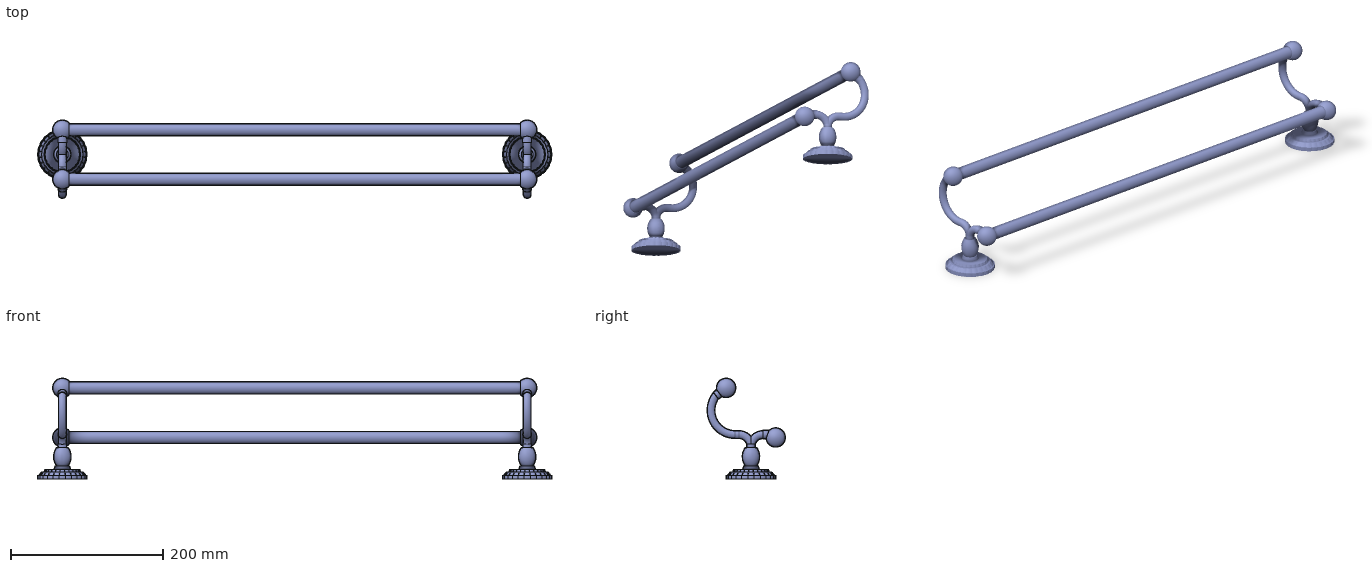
import cadquery as cq
import math


post_spacing = 609.6
overall_height = 132.52
overall_depth = 102.86

ball_radius = 12.8
bar_radius = 8.1
ball_face_offset = 9.0
bar_offset = 65.0
rear_ball_y = 32.4
front_ball_y = rear_ball_y - bar_offset
front_ball_z = overall_height - ball_radius
rear_ball_z = front_ball_z - bar_offset

lobe_count = 24
lobe_depth = 0.6
rosette_radius = 32.51
rosette_tiers = [
    (rosette_radius, 5.0, 0.0),
    (31.0, 4.5, 40.0),
    (24.0, 3.5, 20.0),
]
rosette_height = sum(thickness for _, thickness, _ in rosette_tiers)

collar_base_radius = 11.0
collar_top_radius = 9.5
collar_top = 17.5
bulb_end_radius = 7.7
bulb_radius = 11.6
bulb_top = 41.5
neck_radius = 5.7
neck_top = 46.0

arm_radius = 5.2
fork_radius = 16.0
arm_z = 58.5
ferrule_radius = 5.8
ferrule_reach = 4.0

hook_extreme_y = rear_ball_y + ball_radius - overall_depth + arm_radius
hook_run = front_ball_y - hook_extreme_y
hook_rise = front_ball_z - arm_z
hook_radius = hook_run + hook_rise - math.sqrt(2 * hook_run * hook_rise)
hook_center_y = hook_extreme_y + hook_radius
hook_center_z = arm_z + hook_radius
hook_end_angle = math.atan2(front_ball_z - hook_center_z, front_ball_y - hook_center_y)


def scalloped_tier(radius, thickness, taper, bottom_z):
    """Tapered disc whose rim is a ring of shallow rounded lobes, with crests on the X and Y axes."""
    notch_radius = radius - lobe_depth
    pitch = 2 * math.pi / lobe_count

    def rim_point(distance, angle):
        return (distance * math.cos(angle), distance * math.sin(angle))

    outline = cq.Workplane("XY", origin=(0, 0, bottom_z)).moveTo(*rim_point(notch_radius, -pitch / 2))
    for lobe in range(lobe_count):
        crest = rim_point(radius, lobe * pitch)
        notch = rim_point(notch_radius, (lobe + 0.5) * pitch)
        outline = outline.threePointArc(crest, notch)
    return outline.close().extrude(thickness, taper=taper)


def rosette():
    body = None
    bottom_z = 0.0
    for radius, thickness, taper in rosette_tiers:
        tier = scalloped_tier(radius, thickness, taper, bottom_z)
        body = tier if body is None else body.union(tier)
        bottom_z += thickness
    return body


def turned_post():
    """Collar, bulb and neck as one revolved profile about the post axis."""
    bulb_middle = (collar_top + bulb_top) / 2
    return (
        cq.Workplane("XZ")
        .moveTo(0, 0)
        .lineTo(collar_base_radius, 0)
        .lineTo(collar_base_radius, rosette_height)
        .lineTo(collar_top_radius, collar_top)
        .lineTo(bulb_end_radius, collar_top)
        .threePointArc((bulb_radius, bulb_middle), (bulb_end_radius, bulb_top))
        .lineTo(neck_radius, bulb_top)
        .lineTo(neck_radius, neck_top)
        .lineTo(0, neck_top)
        .close()
        .revolve(360, (0, 0, 0), (0, 1, 0))
    )


def fork_start(side):
    """Centreline of one fork branch: up the post, then a quarter turn to +Y or -Y."""
    turn = fork_radius * math.sqrt(0.5)
    bend_z = arm_z - fork_radius
    return (
        cq.Workplane("YZ")
        .moveTo(0, bulb_top)
        .lineTo(0, bend_z)
        .threePointArc((side * (fork_radius - turn), bend_z + turn), (side * fork_radius, arm_z))
    )


def sweep_tube(path):
    return cq.Workplane("XY", origin=(0, 0, bulb_top)).circle(arm_radius).sweep(path)


def rear_arm():
    return sweep_tube(fork_start(1).lineTo(rear_ball_y, arm_z))


def hook_arm():
    start_angle = -math.pi / 2
    middle_angle = (start_angle + hook_end_angle - 2 * math.pi) / 2
    middle = (
        hook_center_y + hook_radius * math.cos(middle_angle),
        hook_center_z + hook_radius * math.sin(middle_angle),
    )
    path = (
        fork_start(-1)
        .lineTo(hook_center_y, arm_z)
        .threePointArc(middle, (front_ball_y, front_ball_z))
    )
    return sweep_tube(path)


def ferrule(start, direction):
    """Short sleeve standing out of a ball where the arm enters it."""
    length = ball_radius + ferrule_reach
    sleeve = cq.Solid.makeCylinder(ferrule_radius, length, cq.Vector(*start), cq.Vector(*direction))
    return cq.Workplane(sleeve)


def ferrules():
    rear = ferrule((0, rear_ball_y, arm_z), (0, -1, 0))
    half_turn = math.asin((ball_radius + ferrule_reach) / (2 * hook_radius))
    chord_angle = hook_end_angle + math.pi / 2 + half_turn
    front = ferrule((0, front_ball_y, front_ball_z), (0, math.cos(chord_angle), math.sin(chord_angle)))
    return rear.union(front)


def ball(y, z):
    """Ball end with a flat face toward +X for the bar."""
    face_radius = math.sqrt(ball_radius**2 - ball_face_offset**2)
    return (
        cq.Workplane("XY")
        .moveTo(-ball_radius, 0)
        .threePointArc((0, ball_radius), (ball_face_offset, face_radius))
        .lineTo(ball_face_offset, 0)
        .close()
        .revolve(360, (0, 0, 0), (1, 0, 0))
        .translate((0, y, z))
    )


def bracket():
    """Left-hand bracket, standing on the Z axis."""
    return (
        rosette()
        .union(turned_post())
        .union(rear_arm())
        .union(hook_arm())
        .union(ferrules())
        .union(ball(rear_ball_y, rear_ball_z))
        .union(ball(front_ball_y, front_ball_z))
    )


def bar(y, z):
    return (
        cq.Workplane("YZ", origin=(-post_spacing / 2, y, z))
        .circle(bar_radius)
        .extrude(post_spacing)
    )


left_bracket = bracket().translate((-post_spacing / 2, 0, 0))
right_bracket = left_bracket.mirror("YZ")
result = (
    bar(rear_ball_y, rear_ball_z)
    .union(bar(front_ball_y, front_ball_z))
    .union(left_bracket)
    .union(right_bracket)
)